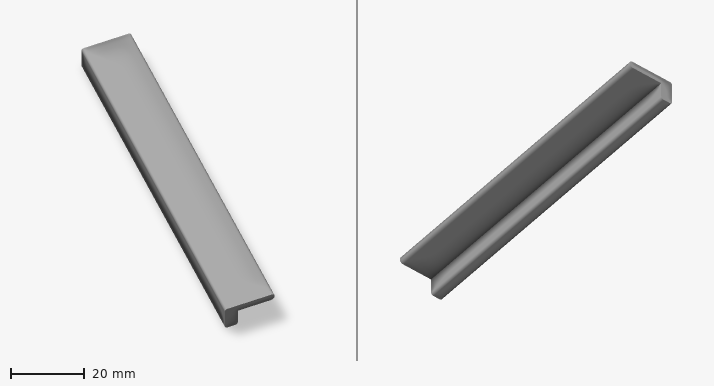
import cadquery as cq

length = 100.0
width = 14.6
height = 7.8
flange_thickness = 2.2
leg_thickness = 3.8
edge_radius = 0.8
tip_top_radius = 0.8
tip_bottom_radius = 1.1

front_y = -width / 2
back_y = width / 2
leg_back_y = front_y + leg_thickness
flange_bottom_z = height - flange_thickness

strip = (
    cq.Workplane("YZ", origin=(-length / 2, 0, 0))
    .moveTo(front_y, 0)
    .lineTo(leg_back_y, 0)
    .lineTo(leg_back_y, flange_bottom_z)
    .lineTo(back_y, flange_bottom_z)
    .lineTo(back_y, height)
    .lineTo(front_y, height)
    .close()
    .extrude(length)
)

rounded_leg = strip.faces("<Y or <Z").edges("|X").fillet(edge_radius)
rounded_tip_top = rounded_leg.edges("|X and >Y").edges(">Z").fillet(tip_top_radius)
result = rounded_tip_top.edges("|X and >Y").edges("<Z").fillet(tip_bottom_radius)